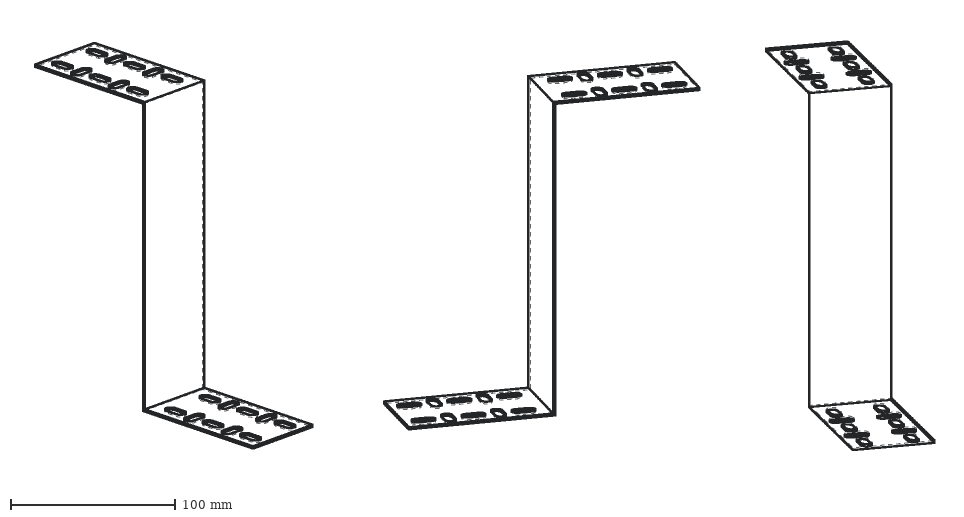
import cadquery as cq

height = 201.5
length = 185.0
width = 52.0
sheet = 1.5

slot_length = 15.1
slot_width = 7.0
slot_pitch = 16.0
row_spacing = 30.0
edge_to_first_slot = 12.7
slots_per_row = 5

half_length = length / 2
half_height = height / 2
half_sheet = sheet / 2


def make_bracket():
    """Extrude the Z profile symmetrically about the XZ plane."""
    return (
        cq.Workplane("XZ")
        .moveTo(-half_length, half_height)
        .lineTo(half_sheet, half_height)
        .lineTo(half_sheet, -half_height + sheet)
        .lineTo(half_length, -half_height + sheet)
        .lineTo(half_length, -half_height)
        .lineTo(-half_sheet, -half_height)
        .lineTo(-half_sheet, half_height - sheet)
        .lineTo(-half_length, half_height - sheet)
        .close()
        .extrude(width / 2, both=True)
    )


def slot_cutters(side, bottom_z):
    """Slots through one flange; side is -1 for the -X flange, +1 for the +X flange."""
    along_x = []
    along_y = []
    for index in range(slots_per_row):
        x = side * (half_length - edge_to_first_slot - index * slot_pitch)
        centers = along_x if index % 2 == 0 else along_y
        centers += [(x, -row_spacing / 2), (x, row_spacing / 2)]
    plane = cq.Workplane("XY", origin=(0, 0, bottom_z))
    lengthwise = plane.pushPoints(along_x).slot2D(slot_length, slot_width).extrude(sheet)
    crosswise = plane.pushPoints(along_y).slot2D(slot_length, slot_width, 90).extrude(sheet)
    return lengthwise.add(crosswise).combine()


result = make_bracket()
result = result.cut(slot_cutters(-1, half_height - sheet))
result = result.cut(slot_cutters(1, -half_height))